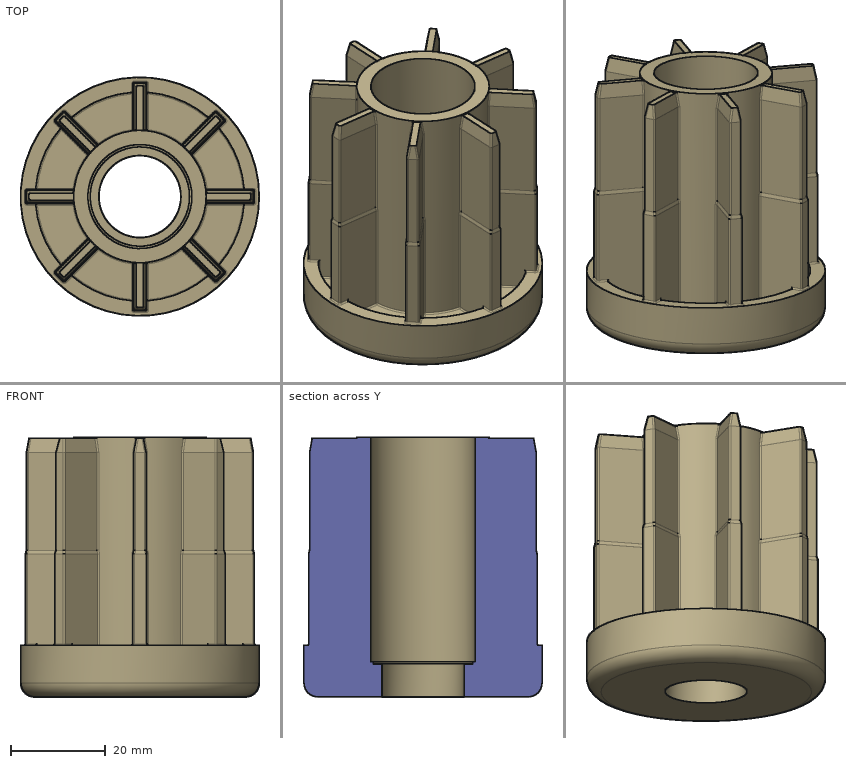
import cadquery as cq
import math

cap_radius = 25.25
cap_height = 11.0
cap_edge_radius = 3.0

floor_z = 7.0
pocket_radius = 22.1

total_height = 55.0
tube_radius = 14.0
bore_radius = 11.0
bore_step_width = 0.5
bore_step_height = 0.5
hole_radius = 8.65

rib_count = 8
rib_inner_reach = (bore_radius + tube_radius) / 2
rib_tip_reach = 24.2
rib_width = 3.0
rib_corner_radius = 0.35
rib_step_inset = 0.2
rib_step_bottom_z = 30.3
rib_step_top_z = 31.1
rib_taper_height = 3.0
rib_taper_inset = 0.55
rib_top_z = 54.75
rib_taper_z = rib_top_z - rib_taper_height

blend_radius = 0.3

height_tolerance = 0.01
radius_tolerance = 0.1


def disc(radius, bottom_z, top_z):
    """Solid cylinder about the Z axis."""
    return cq.Workplane("XY", origin=(0, 0, bottom_z)).circle(radius).extrude(top_z - bottom_z)


def make_cap():
    """Round cap with a rolled lower edge and a pocket in its top."""
    blank = disc(cap_radius, 0, cap_height).faces("<Z").edges().fillet(cap_edge_radius)
    return blank.cut(disc(pocket_radius, floor_z, cap_height))


def rib_outline(z, inset):
    """Rib cross-section at height z, drawn in by inset on its flanks and tip."""
    length = rib_tip_reach - inset - rib_inner_reach
    centre = cq.Vector(rib_inner_reach + length / 2, 0, z)
    outline = cq.Sketch().rect(length, rib_width - 2 * inset)
    return outline.vertices(">X").fillet(rib_corner_radius).moved(cq.Location(centre))


def make_rib():
    """One rib along +X, ruled through its outlines from the pocket floor up."""
    outlines = [
        rib_outline(floor_z, 0),
        rib_outline(rib_step_bottom_z, 0),
        rib_outline(rib_step_top_z, rib_step_inset),
        rib_outline(rib_taper_z, rib_step_inset),
        rib_outline(rib_top_z, rib_step_inset + rib_taper_inset),
    ]
    return cq.Workplane("XY").placeSketch(*outlines).loft(ruled=True)


def is_inside_corner(edge):
    """True for edges where ribs, tube and cap meet in an inside corner."""
    middle = edge.positionAt(0.5)
    radius = math.hypot(middle.x, middle.y)
    is_level = edge.BoundingBox().zlen < height_tolerance
    if is_level:
        on_floor = abs(middle.z - floor_z) < height_tolerance
        at_rim_height = abs(middle.z - cap_height) < height_tolerance
        within_rim = pocket_radius + radius_tolerance < radius < cap_radius - radius_tolerance
        return on_floor or (at_rim_height and within_rim)
    on_tube = abs(radius - tube_radius) < radius_tolerance and middle.z < rib_top_z
    on_pocket_wall = abs(radius - pocket_radius) < radius_tolerance and floor_z < middle.z < cap_height
    return on_tube or on_pocket_wall


def blend_inside_corners(body):
    """Round every inside corner with the same small radius."""
    edges = [edge for edge in body.edges().vals() if is_inside_corner(edge)]
    return body.newObject(edges).fillet(blend_radius)


def make_bore():
    """Blind bore with a narrow ledge above its floor, and the hole through the cap below it."""
    bore = disc(bore_radius, floor_z + bore_step_height, total_height)
    bore_base = disc(bore_radius - bore_step_width, floor_z, total_height)
    hole = disc(hole_radius, 0, total_height)
    return bore.union(bore_base).union(hole)


body = make_cap().union(disc(tube_radius, floor_z, total_height))
rib = make_rib()
for index in range(rib_count):
    body = body.union(rib.rotate((0, 0, 0), (0, 0, 1), index * 360 / rib_count))

result = blend_inside_corners(body).cut(make_bore())